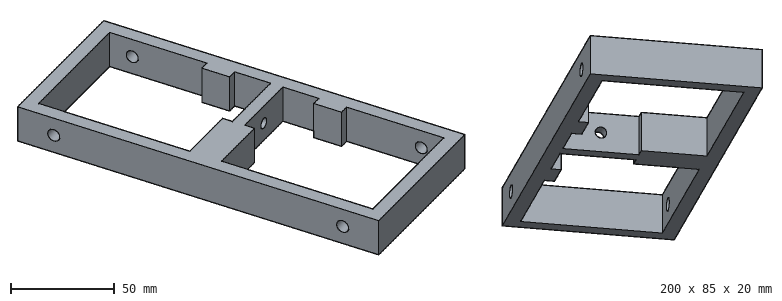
import cadquery as cq

length = 200.0
width = 85.0
height = 20.0
opening_length = 185.0
opening_width = 70.0

web_thickness = 6.8
block_thickness = 17.5
block_length = 32.5

pad_length = 15.5
pad_depth = 5.0
pad_offset = 31.0

wall_hole_diameter = 6.5
wall_hole_offset = 80.0
web_hole_diameter = 5.5

inner_back = opening_width / 2
inner_front = -opening_width / 2
block_back = inner_front + block_length
web_middle = (block_back + inner_back) / 2
overlap = (width - opening_width) / 4


def upright_block(x_center, x_size, y_front, y_back):
    """Full-height rectangular block between two Y positions."""
    return (
        cq.Workplane("XY")
        .center(x_center, (y_front + y_back) / 2)
        .rect(x_size, y_back - y_front)
        .extrude(height)
    )


frame = (
    cq.Workplane("XY")
    .rect(length, width)
    .rect(opening_length, opening_width)
    .extrude(height)
)

web = upright_block(0, web_thickness, inner_front, inner_back + overlap)
block = upright_block(0, block_thickness, inner_front - overlap, block_back)
result = frame.union(web).union(block)

for x_pad in (-pad_offset, pad_offset):
    pad = upright_block(x_pad, pad_length, inner_back - pad_depth, inner_back + overlap)
    result = result.union(pad)

wall_holes = (
    cq.Workplane("XZ")
    .pushPoints([(-wall_hole_offset, height / 2), (wall_hole_offset, height / 2)])
    .circle(wall_hole_diameter / 2)
    .extrude(width, both=True)
)

web_hole = (
    cq.Workplane("YZ")
    .center(web_middle, height / 2)
    .circle(web_hole_diameter / 2)
    .extrude(web_thickness, both=True)
)
result = result.cut(wall_holes).cut(web_hole)